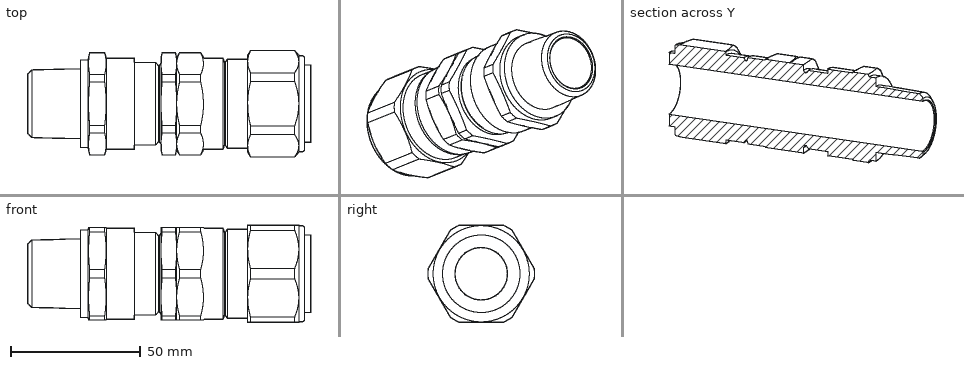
import cadquery as cq
import math

length = 109.5

thread_tip_radius = 13.1
thread_root_radius = 13.5
thread_tip_chamfer = 1.6
taper_end_x = 15.1

flange_x = 20.4
flange_radius = 17.0

sleeve_radius = 17.6
sleeve_end_x = 41.3
neck_radius = 16.0
collar_end_x = 75.6
barrel_radius = 17.3
barrel_x = 77.2

neck_groove_x = 49.5
neck_groove_bottom_x = 50.6
neck_groove_width = 0.3
neck_groove_radius = 14.8
seat_radius = 15.8

collar_groove_x = 76.1
collar_groove_width = 0.3
collar_groove_radius = 16.1

ring_end_x = 107.1
ring_radius = 18.6
ring_round = 1.0
tail_radius = 15.0

bore_radius = 10.1
bore_chamfer = 0.3

small_flats = 35.9
small_corners = 39.6
large_flats = 37.6
large_corners = 41.3

entry_nut_x = 23.3
entry_nut_end_x = 30.4
entry_nut_chamfer = 0.7
lock_nut_x = 51.6
middle_joint_x = 57.6
lock_nut_chamfer = 0.4

body_nut_fillet_end_x = 68.4
body_nut_fillet_radius = 0.4
body_nut_cone_angle = math.radians(60)
body_nut_end_x = body_nut_fillet_end_x - body_nut_fillet_radius * math.sin(body_nut_cone_angle)
body_nut_end_radius = sleeve_radius + body_nut_fillet_radius * (1 - math.cos(body_nut_cone_angle))
body_nut_chamfer = (small_corners / 2 - body_nut_end_radius) / math.tan(body_nut_cone_angle)

cap_nut_x = 85.0
cap_nut_end_x = 105.0
cap_nut_start_chamfer = 1.2
cap_nut_end_chamfer = 1.8


def turned_body():
    """Revolve the stepped outside profile about the X axis."""
    profile = (
        cq.Workplane("XY")
        .moveTo(0, 0)
        .lineTo(0, thread_tip_radius - thread_tip_chamfer)
        .lineTo(thread_tip_chamfer, thread_tip_radius)
        .lineTo(taper_end_x, thread_root_radius)
        .lineTo(flange_x, thread_root_radius)
        .lineTo(flange_x, flange_radius)
        .lineTo(entry_nut_end_x, flange_radius)
        .lineTo(entry_nut_end_x, sleeve_radius)
        .lineTo(sleeve_end_x, sleeve_radius)
        .lineTo(sleeve_end_x, neck_radius)
        .lineTo(neck_groove_x, neck_radius)
        .lineTo(neck_groove_bottom_x, neck_groove_radius)
        .lineTo(neck_groove_bottom_x + neck_groove_width, neck_groove_radius)
        .lineTo(lock_nut_x, seat_radius)
        .lineTo(body_nut_end_x, seat_radius)
        .lineTo(body_nut_end_x, body_nut_end_radius)
        .radiusArc((body_nut_fillet_end_x, sleeve_radius), -body_nut_fillet_radius)
        .lineTo(collar_end_x, sleeve_radius)
        .lineTo(collar_groove_x, collar_groove_radius)
        .lineTo(collar_groove_x + collar_groove_width, collar_groove_radius)
        .lineTo(barrel_x, barrel_radius)
        .lineTo(cap_nut_x, barrel_radius)
        .lineTo(cap_nut_x, ring_radius)
        .lineTo(ring_end_x - ring_round, ring_radius)
        .radiusArc((ring_end_x, ring_radius - ring_round), ring_round)
        .lineTo(ring_end_x, tail_radius)
        .lineTo(length, tail_radius)
        .lineTo(length, 0)
        .close()
    )
    return profile.revolve(360, (0, 0, 0), (1, 0, 0))


def hex_nut(start_x, end_x, flats, corners, start_radius, end_radius, start_chamfer, end_chamfer):
    """Hexagon prism along X, trimmed by a cylinder that is coned at both ends."""
    point_diameter = flats / math.cos(math.radians(30))
    prism = (
        cq.Workplane("YZ", origin=(start_x, 0, 0))
        .polygon(6, point_diameter)
        .extrude(end_x - start_x)
    )
    corner_radius = corners / 2
    envelope = (
        cq.Workplane("XY")
        .moveTo(start_x, 0)
        .lineTo(start_x, start_radius)
        .lineTo(start_x + start_chamfer, corner_radius)
        .lineTo(end_x - end_chamfer, corner_radius)
        .lineTo(end_x, end_radius)
        .lineTo(end_x, 0)
        .close()
        .revolve(360, (0, 0, 0), (1, 0, 0))
    )
    return prism.intersect(envelope)


def small_nut(start_x, end_x, start_radius, end_radius, chamfer):
    """Nut of the smaller size with equal chamfer lengths at both ends."""
    return hex_nut(
        start_x, end_x, small_flats, small_corners, start_radius, end_radius, chamfer, chamfer
    )


def through_bore():
    """Full-length bore with a small lead-in chamfer at the thread tip."""
    mouth_radius = bore_radius + bore_chamfer
    profile = (
        cq.Workplane("XY")
        .moveTo(0, 0)
        .lineTo(0, mouth_radius)
        .lineTo(bore_chamfer, bore_radius)
        .lineTo(length, bore_radius)
        .lineTo(length, 0)
        .close()
    )
    return profile.revolve(360, (0, 0, 0), (1, 0, 0))


flat_radius = small_flats / 2
nuts = [
    small_nut(entry_nut_x, entry_nut_end_x, flange_radius, sleeve_radius, entry_nut_chamfer),
    small_nut(lock_nut_x, middle_joint_x, flat_radius, flat_radius, lock_nut_chamfer),
    small_nut(middle_joint_x, body_nut_end_x, flat_radius, body_nut_end_radius, body_nut_chamfer),
    hex_nut(
        cap_nut_x,
        cap_nut_end_x,
        large_flats,
        large_corners,
        ring_radius,
        ring_radius,
        cap_nut_start_chamfer,
        cap_nut_end_chamfer,
    ),
]

result = turned_body()
for nut in nuts:
    result = result.union(nut)
result = result.cut(through_bore())